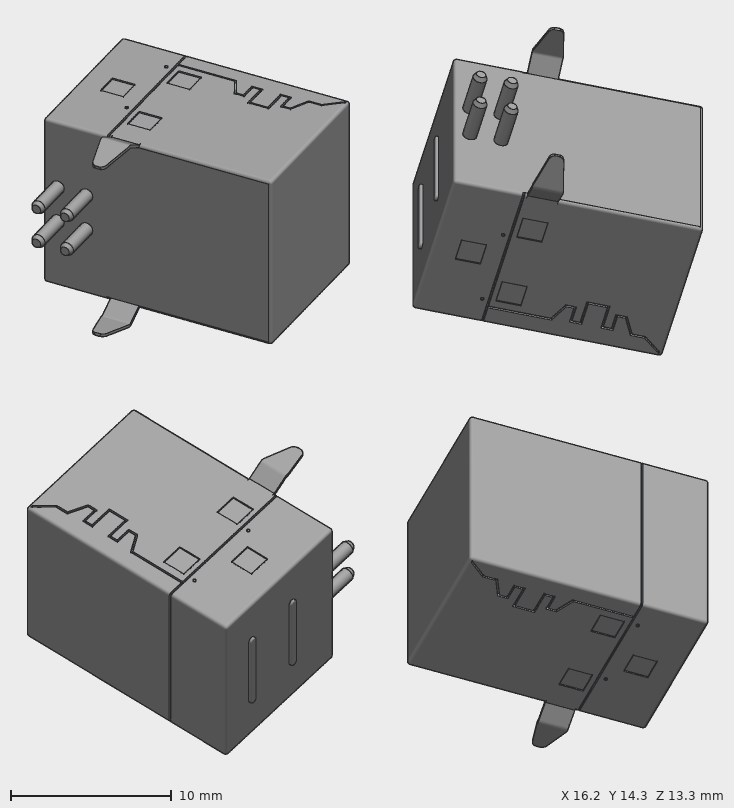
import cadquery as cq
import math


length = 16.0
depth = 10.65
height = 12.05
sheet = 0.2
edge_radius = 0.22
top = height / 2
rear_y = depth / 2
board_y = -depth / 2

seam_x = 4.44
seam_gap = 0.12
shell_x = seam_x + seam_gap

tab_x = 5.71
tab_width = 1.98
tab_root = 0.44
tab_reach = 3.69
tab_crest = 0.65
rise_angle = math.radians(29)
fall_angle = math.radians(10)
bend_radius = 0.5
tip_half_width = 0.4
tip_radius = 0.42

square_size = 1.6
square_depth = 0.1
square_offset = 2.65
rear_square_x = 2.44
pip_diameter = 0.2
pip_height = 0.05
pip_x = 4.03
pip_y_positions = (3.465, -1.855)

slit_width = 0.12
flap_margin = 1.0
flap_depth = 1.22
notch_depth = 1.35
hook_depth = 2.49
tongue_depth = 3.05
joint_x = 11.16
tongue_half = 0.62
hook_inner_half = 1.39
hook_outer_half = 1.9
shoulder_half = 2.53
corner_x = 14.6

pin_diameter = 0.9
pin_length = 2.9
pin_chamfer = 0.3
pin_tip_inset = 0.15
pin_first_x = 1.01
pin_pitch_x = 2.0
pin_pitch_z = 2.5

rib_length = 6.0
rib_width = 0.55
rib_height = 0.2
rib_rounding = 0.1
rib_y_positions = (2.825, -1.175)


def block(x_start, x_end, y_start, y_end, z_start, z_end):
    """Box between two limits on each axis."""
    size = (x_end - x_start, y_end - y_start, z_end - z_start)
    return cq.Workplane("XY").box(*size, centered=False).translate((x_start, y_start, z_start))


def envelope():
    """Rounded block that both bodies share as their outside."""
    return block(0, length, board_y, rear_y, -top, top).edges().fillet(edge_radius)


def square_recesses(centres):
    """Cutters for square recesses in both Z faces."""
    cutter = (
        cq.Workplane("XY", origin=(0, 0, top - square_depth))
        .pushPoints(centres)
        .rect(square_size, square_size)
        .extrude(square_depth)
    )
    return cutter, cutter.mirror("XY")


def shell_core():
    """Block that fills the shell and is flush with the board face."""
    core_top = top - sheet
    core = block(seam_x, length - sheet, board_y, rear_y - sheet, -core_top, core_top)
    return core.intersect(envelope())


def pins():
    """Four terminals with conical tips on the board face."""
    radius = pin_diameter / 2
    tip_end_radius = radius - pin_tip_inset
    half_section = (
        cq.Workplane("XY")
        .polyline([
            (0, 0),
            (radius, 0),
            (radius, -(pin_length - pin_chamfer)),
            (tip_end_radius, -pin_length),
            (0, -pin_length),
        ])
        .close()
    )
    pin = half_section.revolve(360, (0, 0), (0, 1))
    group = cq.Workplane("XY")
    for x in (pin_first_x, pin_first_x + pin_pitch_x):
        for z in (-pin_pitch_z / 2, pin_pitch_z / 2):
            group = group.add(pin.translate((x, board_y, z)))
    return group


def ribs():
    """Upright standoff ribs on the rear face with rounded ends and outer edges."""
    rib = (
        cq.Workplane("YZ")
        .slot2D(rib_length, rib_width, 90)
        .extrude(-rib_height)
        .faces("<X")
        .edges()
        .fillet(rib_rounding)
    )
    group = cq.Workplane("XY")
    for y in rib_y_positions:
        group = group.add(rib.translate((0, y, 0)))
    return group


def pips():
    """Small round pips on both Z faces, next to the seam."""
    upper = (
        cq.Workplane("XY", origin=(0, 0, top))
        .pushPoints([(pip_x, y) for y in pip_y_positions])
        .circle(pip_diameter / 2)
        .extrude(pip_height)
    )
    return upper, upper.mirror("XY")


def make_housing():
    """Rear block with the core, terminals, ribs and pips as one body."""
    rear_block = envelope().intersect(block(0, seam_x, board_y, rear_y, -top, top))
    housing = rear_block.union(shell_core())
    for feature in (pins(), ribs(), *pips()):
        for solid in feature.vals():
            housing = housing.union(cq.Workplane(solid))
    for recess in square_recesses([(rear_square_x, 0)]):
        housing = housing.cut(recess)
    return housing


def joint_slit():
    """Narrow slit of constant width that parts the flap from the +Z sheet."""
    half_joint = [
        (shoulder_half, flap_depth),
        (hook_outer_half, hook_depth),
        (hook_inner_half, hook_depth),
        (hook_inner_half, notch_depth),
        (tongue_half, notch_depth),
        (tongue_half, tongue_depth),
    ]
    left = [(joint_x - x, rear_y - y) for x, y in half_joint]
    right = [(joint_x + x, rear_y - y) for x, y in reversed(half_joint)]
    corner = (length - edge_radius, rear_y - edge_radius)
    flap_line = [(seam_x, rear_y - flap_depth), *left, *right, (corner_x, rear_y - flap_depth), corner]
    beyond = rear_y + flap_margin
    outline = flap_line + [(corner[0], beyond), (seam_x, beyond)]

    flap_wire = cq.Workplane("XY", origin=(0, 0, top - sheet)).polyline(outline).close().val()
    flap = cq.Workplane(flap_wire).toPending().extrude(sheet)
    widened_wire = flap_wire.offset2D(slit_width, "intersection")[0]
    widened_flap = cq.Workplane(widened_wire).toPending().extrude(sheet)
    window = block(seam_x, length - edge_radius, board_y, rear_y - edge_radius, 0, top)
    return widened_flap.cut(flap).intersect(window)


def tab():
    """Tab on the +Z sheet: bent outwards, over a crest and back to a rounded tip."""
    bend_shift = sheet * math.tan(rise_angle / 2)
    arc_drop = bend_radius * (1 - math.cos(rise_angle))
    crest_distance = (
        -bend_shift
        + (tab_crest - arc_drop) / math.tan(rise_angle)
        + bend_radius * math.sin(rise_angle)
    )
    centre_z = top + tab_crest - bend_radius

    def on_crest(radius, angle):
        """Point (Y, Z) on the crest bend; the angle is measured from +Z towards -Y."""
        return (
            board_y - crest_distance - radius * math.sin(angle),
            centre_z + radius * math.cos(angle),
        )

    inner_radius = bend_radius - sheet
    outer_end = on_crest(bend_radius, fall_angle)
    tip_y = board_y - tab_reach
    outer_tip = (tip_y, outer_end[1] - (outer_end[0] - tip_y) * math.tan(fall_angle))
    inner_tip = (
        outer_tip[0] + sheet * math.sin(fall_angle),
        outer_tip[1] - sheet * math.cos(fall_angle),
    )
    root_y = board_y + tab_root
    strip = (
        cq.Workplane("YZ", origin=(tab_x - tab_width / 2, 0, 0))
        .moveTo(root_y, top)
        .lineTo(board_y + bend_shift, top)
        .lineTo(*on_crest(bend_radius, -rise_angle))
        .threePointArc(on_crest(bend_radius, 0), outer_end)
        .lineTo(*outer_tip)
        .lineTo(*inner_tip)
        .lineTo(*on_crest(inner_radius, fall_angle))
        .threePointArc(on_crest(inner_radius, 0), on_crest(inner_radius, -rise_angle))
        .lineTo(board_y, top - sheet)
        .lineTo(root_y, top - sheet)
        .close()
        .extrude(tab_width)
    )
    taper_y = outer_end[0]
    plan = (
        cq.Workplane("XY")
        .polyline([
            (tab_x - tab_width / 2, root_y),
            (tab_x - tab_width / 2, taper_y),
            (tab_x - tip_half_width, tip_y),
            (tab_x + tip_half_width, tip_y),
            (tab_x + tab_width / 2, taper_y),
            (tab_x + tab_width / 2, root_y),
        ])
        .close()
        .extrude(top + tab_crest)
        .edges("|Z and <Y")
        .fillet(tip_radius)
    )
    return strip.intersect(plan)


def make_shell():
    """Sheet over the two Z faces, the +Y face and the +X end, open at the board face."""
    front = envelope().intersect(block(shell_x, length, board_y, rear_y, -top, top))
    shell = front.cut(shell_core())
    slit = joint_slit()
    shell = shell.cut(slit).cut(slit.mirror("XY"))
    for recess in square_recesses([(tab_x, -square_offset), (tab_x, square_offset)]):
        shell = shell.cut(recess)
    solder_tab = tab()
    return shell.union(solder_tab).union(solder_tab.mirror("XY"))


housing = make_housing()
shell = make_shell()

result = cq.Compound.makeCompound([housing.solids().val(), shell.solids().val()])